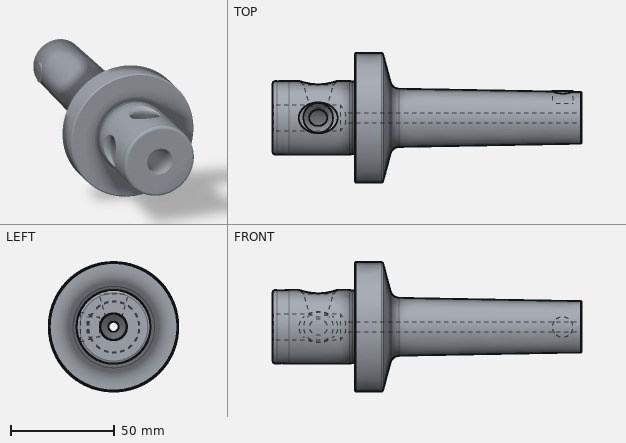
import cadquery as cq
import math

total_length = 150.0
nose_end = 2.1
pilot_end = 7.8
undercut_start = 37.2
undercut_floor = 38.7
flange_face = 39.9
flange_rim_end = 53.5

spigot_radius = 18.0
pilot_radius = 17.8
nose_radius = 16.5
flange_radius = 31.5
shank_root_radius = 14.2
shank_tip_radius = 12.6

nose_bulge = 0.6
flange_chamfer = 0.6
rim_fillet = 1.0
root_fillet = 4.0
tip_chamfer = 0.5

undercut_depth = 0.3
undercut_outer_radius = 19.8
undercut_face_depth = 0.5

flange_cone_angle = math.radians(15)
shank_start = flange_rim_end + (flange_radius - shank_root_radius) * math.tan(flange_cone_angle)

bore_radius = 6.3
bore_depth = 33.0
bore_chamfer = 0.3
drill_half_angle = math.radians(59)
through_radius = 2.4

clamp_x = 22.2
clamp_inner_radius = 4.4
clamp_outer_radius = 7.2
clamp_cone_end = 16.0
countersink_slope = 1.15
clamp_top = spigot_radius + 1.5

plug_x = 140.7
plug_radius = 5.0
plug_outer_y = 13.0
plug_depth = 6.0


def revolve_about_x(outline):
    """Revolve a closed (x, radius) outline about the X axis."""
    return cq.Workplane("XY").polyline(outline).close().revolve(360, (0, 0, 0), (1, 0, 0))


def circle_edge(x, radius):
    """Select the turned edge at an axial place and radius."""
    margin = 0.08
    return cq.selectors.BoxSelector(
        (x - margin, -radius - margin, -radius - margin),
        (x + margin, radius + margin, radius + margin),
        boundingbox=True,
    )


def turned_body():
    floor_radius = spigot_radius - undercut_depth
    outline = cq.Workplane("XY").lineTo(0, nose_radius).sagittaArc((nose_end, pilot_radius), nose_bulge)
    outline = outline.polyline([
        (pilot_end, spigot_radius),
        (undercut_start, spigot_radius),
        (undercut_floor, floor_radius),
        (flange_face + undercut_face_depth, floor_radius),
        (flange_face, undercut_outer_radius),
        (flange_face, flange_radius - flange_chamfer),
        (flange_face + flange_chamfer, flange_radius),
        (flange_rim_end, flange_radius),
        (shank_start, shank_root_radius),
        (total_length - tip_chamfer, shank_tip_radius),
        (total_length, shank_tip_radius - tip_chamfer),
        (total_length, 0),
    ], includeCurrent=True)
    body = outline.close().revolve(360, (0, 0, 0), (1, 0, 0))
    body = body.edges(circle_edge(flange_rim_end, flange_radius)).fillet(rim_fillet)
    return body.edges(circle_edge(shank_start, shank_root_radius)).fillet(root_fillet)


def axial_bore():
    cone_length = (bore_radius - through_radius) / math.tan(drill_half_angle)
    return revolve_about_x([
        (0, 0),
        (0, bore_radius + bore_chamfer),
        (bore_chamfer, bore_radius),
        (bore_depth, bore_radius),
        (bore_depth + cone_length, through_radius),
        (total_length, through_radius),
        (total_length, 0),
    ])


def clamp_hole():
    """Upright conical hole from the part's axis out through the top of the spigot."""
    cone_slope = (clamp_outer_radius - clamp_inner_radius) / (clamp_cone_end - bore_radius)
    axis_radius = clamp_inner_radius - cone_slope * bore_radius
    top_radius = clamp_outer_radius + countersink_slope * (clamp_top - clamp_cone_end)
    return (
        cq.Workplane("XZ")
        .polyline([
            (0, 0),
            (axis_radius, 0),
            (clamp_outer_radius, clamp_cone_end),
            (top_radius, clamp_top),
            (0, clamp_top),
        ])
        .close()
        .revolve(360, (0, 0, 0), (0, 1, 0))
        .translate((clamp_x, 0, 0))
    )


def plug_cylinder(length):
    """Cylinder along +Y, starting at the floor of the plug's hole."""
    start = cq.Vector(plug_x, plug_outer_y - plug_depth, 0)
    return cq.Workplane(cq.Solid.makeCylinder(plug_radius, length, start, cq.Vector(0, 1, 0)))


def make_holder():
    holder = turned_body().cut(axial_bore())
    for turn in (0, -90):
        holder = holder.cut(clamp_hole().rotate((0, 0, 0), (1, 0, 0), turn))
    return holder.cut(plug_cylinder(2 * plug_depth))


holder = make_holder()
plug = plug_cylinder(plug_depth)

result = cq.Compound.makeCompound([holder.val(), plug.val()])